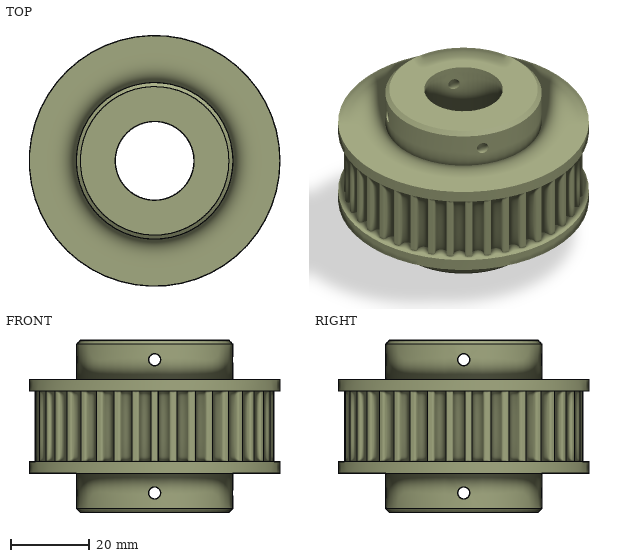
import cadquery as cq
import math

flange_diameter = 64.1
flange_thickness = 3.0
belt_width = 18.0
total_height = 44.0
hub_diameter = 40.0
hub_chamfer = 1.0
bore_diameter = 20.05

screw_hole_diameter = 3.0

tooth_count = 39
tip_radius = 30.5
root_radius = 27.75
groove_radius = 1.5
tip_fillet = 0.6
first_groove_angle = 90.0

flange_span = belt_width + 2 * flange_thickness
hub_length = (total_height - flange_span) / 2
screw_hole_height = total_height / 2 - hub_length / 2


def groove_points():
    """Points of one groove profile as (across, outward), from its right side to its left side."""
    arc_centre = root_radius + groove_radius
    fillet_across = groove_radius + tip_fillet
    fillet_out = math.sqrt((tip_radius - tip_fillet) ** 2 - fillet_across ** 2)
    tip_angle = math.atan2(fillet_across, fillet_out)
    fillet_mid_angle = (math.pi - tip_angle + math.pi / 2) / 2

    tip = (tip_radius * math.sin(tip_angle), tip_radius * math.cos(tip_angle))
    fillet_mid = (
        fillet_across + tip_fillet * math.cos(fillet_mid_angle),
        fillet_out + tip_fillet * math.sin(fillet_mid_angle),
    )
    flank_top = (groove_radius, fillet_out)
    flank_bottom = (groove_radius, arc_centre)
    right_side = [tip, fillet_mid, flank_top, flank_bottom]
    left_side = [(-across, out) for across, out in reversed(right_side)]
    return right_side + [(0, root_radius)] + left_side


def turned(point, angle):
    """Place a groove point in the XY plane with the groove opening towards the given angle."""
    across, out = point
    return (
        out * math.cos(angle) + across * math.sin(angle),
        out * math.sin(angle) - across * math.cos(angle),
    )


def toothed_ring():
    """Solid of round-bottomed grooves between filleted teeth, filling the belt width."""
    pitch = 2 * math.pi / tooth_count
    start = math.radians(first_groove_angle)
    groove = groove_points()
    profile = cq.Workplane("XY").workplane(offset=-belt_width / 2).moveTo(*turned(groove[0], start))
    for index in range(tooth_count):
        angle = start + index * pitch
        (_, fillet_in, flank_in, arc_in, root,
         arc_out, flank_out, fillet_out, tip_out) = [turned(point, angle) for point in groove]
        tooth_middle = turned((0, tip_radius), angle + pitch / 2)
        next_tip = turned(groove[0], angle + pitch)
        profile = (
            profile.threePointArc(fillet_in, flank_in)
            .lineTo(*arc_in)
            .threePointArc(root, arc_out)
            .lineTo(*flank_out)
            .threePointArc(fillet_out, tip_out)
            .threePointArc(tooth_middle, next_tip)
        )
    return profile.close().extrude(belt_width)


def centred_disc(diameter, height, middle=0.0):
    """Disc about the Z axis whose mid height is at the given Z."""
    return cq.Workplane("XY").workplane(offset=middle - height / 2).circle(diameter / 2).extrude(height)


def screw_holes():
    """Two crossed through holes in each hub."""
    holes = cq.Workplane("XY")
    for height in (-screw_hole_height, screw_hole_height):
        for plane in ("XZ", "YZ"):
            hole = (
                cq.Workplane(plane)
                .center(0, height)
                .circle(screw_hole_diameter / 2)
                .extrude(hub_diameter, both=True)
            )
            holes = holes.add(hole)
    return holes.combine()


result = centred_disc(hub_diameter, total_height).faces("<Z or >Z").chamfer(hub_chamfer)
result = result.union(toothed_ring())
for side in (-1, 1):
    flange_middle = side * (belt_width + flange_thickness) / 2
    result = result.union(centred_disc(flange_diameter, flange_thickness, flange_middle))

result = result.cut(centred_disc(bore_diameter, total_height))
result = result.cut(screw_holes())